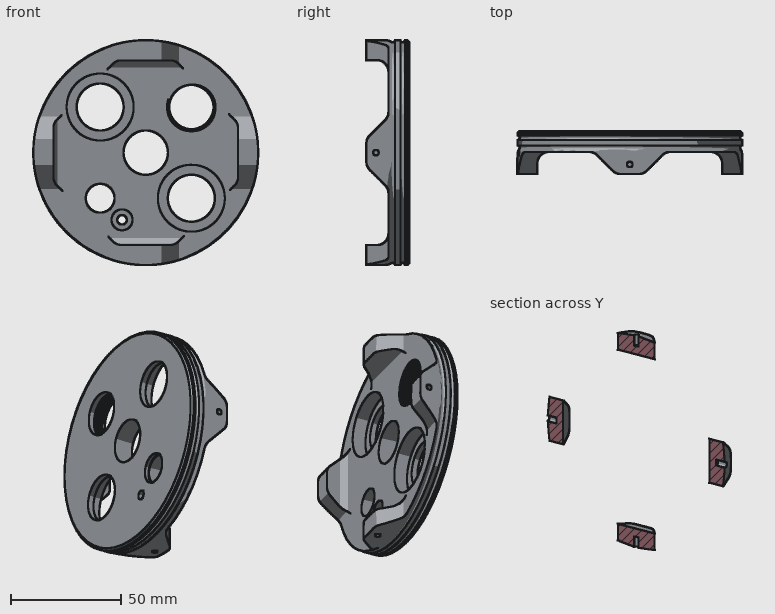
import cadquery as cq
import math


OUTER_RADIUS = 102 / 2
PLATE_THICKNESS = 9.5
LUG_HEIGHT = 10
TOTAL_DEPTH = PLATE_THICKNESS + LUG_HEIGHT

BACK_CHAMFER = 1
GROOVE_RADIUS = 1
BACK_GROOVE_DEPTH = 3
FRONT_GROOVE_DEPTH = 7.5
ROUND_START_DEPTH = 8.1

LUG_COUNT = 4
LUG_FILLET = 5
LUG_WALL_RADIUS = 41.8
LUG_FLANK_ANGLE = math.radians(45)
LUG_CORNER_HALF_WIDTH = 6.2
PIN_HOLE_DIAMETER = 2.55
PIN_HOLE_LENGTH = 5
PIN_HOLE_DEPTH = 15.1

CENTRE_HOLE_DIAMETER = 20
PORT_OFFSET = 20.65
SEAT_PORT_DIAMETER = 21.2
SEAT_DIAMETER = 30.36
SEAT_LENGTH = 6.5
SMALL_PORT_DIAMETER = 12.94
SMALL_PORT_BACK_DIAMETER = 13.74
SMALL_PORT_BACK_LENGTH = 2
SCREW_HOLE_POSITION = (-10.75, -30.45)
SCREW_HOLE_DIAMETER = 4.2
SCREW_HEAD_DIAMETER = 9.5
SCREW_HEAD_LENGTH = 7

THREAD_MINOR_DIAMETER = 20
THREAD_MAJOR_DIAMETER = 22.01
THREAD_PITCH = 1.5
THREAD_LENGTH = 7.5
THREAD_START_ANGLE = 45
THREAD_ROOT_WIDTH = THREAD_PITCH / 4
THREAD_CREST_WIDTH = THREAD_PITCH / 8
THREAD_OVERLAP = 0.1

FILLET_RISE = LUG_FILLET * (1 - math.cos(LUG_FLANK_ANGLE))
ROUND_END_DEPTH = PLATE_THICKNESS + FILLET_RISE


def turned_blank():
    """Solid of revolution carrying the chamfer, both rim grooves and the rounded edge."""
    round_start_radius = OUTER_RADIUS - math.sqrt(
        GROOVE_RADIUS**2 - (ROUND_START_DEPTH - FRONT_GROOVE_DEPTH) ** 2
    )
    round_height = OUTER_RADIUS - round_start_radius
    round_length = ROUND_END_DEPTH - ROUND_START_DEPTH
    round_radius = (round_length**2 + round_height**2) / (2 * round_height)
    groove_bottom = OUTER_RADIUS - GROOVE_RADIUS
    profile = (
        cq.Workplane("XY")
        .moveTo(0, 0)
        .lineTo(OUTER_RADIUS - BACK_CHAMFER, 0)
        .lineTo(OUTER_RADIUS, -BACK_CHAMFER)
        .lineTo(OUTER_RADIUS, GROOVE_RADIUS - BACK_GROOVE_DEPTH)
        .threePointArc(
            (groove_bottom, -BACK_GROOVE_DEPTH),
            (OUTER_RADIUS, -BACK_GROOVE_DEPTH - GROOVE_RADIUS),
        )
        .lineTo(OUTER_RADIUS, GROOVE_RADIUS - FRONT_GROOVE_DEPTH)
        .threePointArc(
            (groove_bottom, -FRONT_GROOVE_DEPTH),
            (round_start_radius, -ROUND_START_DEPTH),
        )
        .radiusArc((OUTER_RADIUS, -ROUND_END_DEPTH), round_radius)
        .lineTo(OUTER_RADIUS, -TOTAL_DEPTH)
        .lineTo(0, -TOTAL_DEPTH)
        .close()
    )
    return profile.revolve(360, (0, 0, 0), (0, 1, 0))


def lug_flanks():
    """Lug seen along its radius: rounded tip, sloped flanks and base fillets."""
    tangent = LUG_FILLET * math.tan(LUG_FLANK_ANGLE / 2)
    run = LUG_FILLET * math.sin(LUG_FLANK_ANGLE)
    half_angle = LUG_FLANK_ANGLE / 2
    mid_run = LUG_FILLET * math.sin(half_angle)
    mid_rise = LUG_FILLET * (1 - math.cos(half_angle))

    tip = LUG_CORNER_HALF_WIDTH - tangent
    foot = LUG_CORNER_HALF_WIDTH + LUG_HEIGHT / math.tan(LUG_FLANK_ANGLE) + tangent
    half_profile = (
        cq.Workplane("XY")
        .moveTo(0, -TOTAL_DEPTH)
        .lineTo(tip, -TOTAL_DEPTH)
        .threePointArc(
            (tip + mid_run, -TOTAL_DEPTH + mid_rise),
            (tip + run, -TOTAL_DEPTH + FILLET_RISE),
        )
        .lineTo(foot - run, -ROUND_END_DEPTH)
        .threePointArc(
            (foot - mid_run, -PLATE_THICKNESS - mid_rise),
            (foot, -PLATE_THICKNESS),
        )
        .lineTo(foot, 0)
        .lineTo(0, 0)
        .close()
        .extrude(OUTER_RADIUS)
    )
    return half_profile.union(half_profile.mirror("YZ"))


def lug_inner_wall():
    """Lug seen from its side: flat inner wall running into the plate through a fillet."""
    fillet_mid = LUG_FILLET * (1 - math.sin(math.radians(45)))
    return (
        cq.Workplane("ZY")
        .moveTo(LUG_WALL_RADIUS - LUG_FILLET, 0)
        .lineTo(LUG_WALL_RADIUS - LUG_FILLET, -PLATE_THICKNESS)
        .threePointArc(
            (LUG_WALL_RADIUS - fillet_mid, -PLATE_THICKNESS - fillet_mid),
            (LUG_WALL_RADIUS, -PLATE_THICKNESS - LUG_FILLET),
        )
        .lineTo(LUG_WALL_RADIUS, -TOTAL_DEPTH)
        .lineTo(OUTER_RADIUS, -TOTAL_DEPTH)
        .lineTo(OUTER_RADIUS, 0)
        .close()
        .extrude(OUTER_RADIUS, both=True)
    )


def pin_hole():
    """Blind radial hole in the outer face of the lug at +Z."""
    return (
        cq.Workplane("XY")
        .workplane(offset=OUTER_RADIUS - PIN_HOLE_LENGTH)
        .center(0, -PIN_HOLE_DEPTH)
        .circle(PIN_HOLE_DIAMETER / 2)
        .extrude(PIN_HOLE_LENGTH)
    )


def bore(position, diameter, start_depth=0, end_depth=PLATE_THICKNESS):
    """Cylinder along Y at an (X, Z) position between two depths."""
    return (
        cq.Workplane("XZ")
        .workplane(offset=start_depth)
        .center(*position)
        .circle(diameter / 2)
        .extrude(end_depth - start_depth)
    )


def thread_cutter(position):
    """Helical trapezoid cutter entering through the front face of the plate."""
    minor = THREAD_MINOR_DIAMETER / 2
    outer = THREAD_MAJOR_DIAMETER / 2
    inner = minor - THREAD_OVERLAP
    half_root = THREAD_ROOT_WIDTH / 2
    half_mouth = (THREAD_PITCH - THREAD_CREST_WIDTH) / 2
    flank_slope = (half_mouth - half_root) / (outer - minor)
    half_width = half_mouth + THREAD_OVERLAP * flank_slope
    path_length = THREAD_LENGTH + THREAD_PITCH - half_mouth
    path = cq.Wire.makeHelix(THREAD_PITCH, path_length, inner)
    cutter = (
        cq.Workplane("XZ")
        .moveTo(inner, -half_width)
        .lineTo(outer, -half_root)
        .lineTo(outer, half_root)
        .lineTo(inner, half_width)
        .close()
        .sweep(cq.Workplane(path), isFrenet=True)
    )
    lead_in = cutter.translate((0, 0, -THREAD_PITCH))
    along_y = lead_in.rotate((0, 0, 0), (1, 0, 0), -90)
    started = along_y.rotate((0, 0, 0), (0, 1, 0), THREAD_START_ANGLE)
    return started.translate((position[0], -PLATE_THICKNESS, position[1]))


lug = lug_flanks().intersect(lug_inner_wall())
shape = bore((0, 0), 2 * OUTER_RADIUS)
for index in range(LUG_COUNT):
    angle = index * 360 / LUG_COUNT
    shape = shape.union(lug.rotate((0, 0, 0), (0, 1, 0), angle))
cover = turned_blank().intersect(shape)
for index in range(LUG_COUNT):
    angle = index * 360 / LUG_COUNT
    cover = cover.cut(pin_hole().rotate((0, 0, 0), (0, 1, 0), angle))

cover = cover.cut(bore((0, 0), CENTRE_HOLE_DIAMETER))

for side in (-1, 1):
    seat_position = (side * PORT_OFFSET, -side * PORT_OFFSET)
    cover = cover.cut(bore(seat_position, SEAT_PORT_DIAMETER))
    cover = cover.cut(bore(seat_position, SEAT_DIAMETER, PLATE_THICKNESS - SEAT_LENGTH))

small_port_position = (-PORT_OFFSET, -PORT_OFFSET)
cover = cover.cut(bore(small_port_position, SMALL_PORT_DIAMETER))
cover = cover.cut(bore(small_port_position, SMALL_PORT_BACK_DIAMETER, 0, SMALL_PORT_BACK_LENGTH))

cover = cover.cut(bore(SCREW_HOLE_POSITION, SCREW_HOLE_DIAMETER))
cover = cover.cut(bore(SCREW_HOLE_POSITION, SCREW_HEAD_DIAMETER, PLATE_THICKNESS - SCREW_HEAD_LENGTH))

threaded_position = (PORT_OFFSET, PORT_OFFSET)
cover = cover.cut(bore(threaded_position, THREAD_MINOR_DIAMETER))
cover = cover.cut(thread_cutter(threaded_position))

result = cq.Compound.makeCompound([cover.val()])